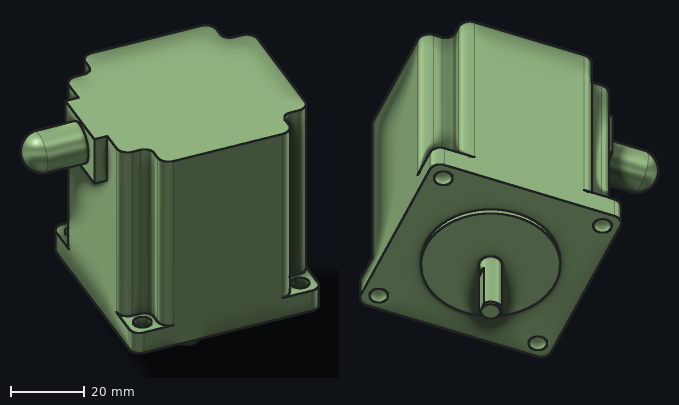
import cadquery as cq

side = 56.4
body_top = 61.7
flange_thickness = 6.8
flange_corner_radius = 3.05
hole_spacing = 47.1
hole_diameter = 5.1
notch_size = 8.6
notch_outer_radius = 3.4
notch_inner_radius = 2.7

pilot_diameter = 38.2
pilot_height = 1.65
shaft_diameter = 6.3
shaft_length = 18.9
shaft_chamfer = 0.5
flat_depth = 0.5
flat_start = 4.1

outlet_width = 20.0
outlet_height = 14.8
outlet_depth = 3.9
plug_diameter = 12.0
plug_straight_length = 12.2
plug_dome_height = 4.9


def make_flange():
    """Square plate with rounded corners and four mounting holes."""
    return (
        cq.Workplane("XY")
        .rect(side, side)
        .extrude(flange_thickness)
        .edges("|Z")
        .fillet(flange_corner_radius)
        .faces(">Z")
        .workplane()
        .rect(hole_spacing, hole_spacing, forConstruction=True)
        .vertices()
        .hole(hole_diameter)
    )


def make_body():
    """Square column whose corners are notched to clear the screws."""
    shoulder_width = side - 2 * notch_size
    height = body_top - flange_thickness
    base = cq.Workplane("XY").workplane(offset=flange_thickness)
    cross = base.rect(side, shoulder_width).extrude(height)
    cross = cross.union(base.rect(shoulder_width, side).extrude(height))

    selection_margin = 0.8
    inner_reach = shoulder_width / 2 + selection_margin
    inner_corners = cq.selectors.BoxSelector(
        (-inner_reach, -inner_reach, 0), (inner_reach, inner_reach, body_top)
    )
    cross = cross.edges("|Z").edges(inner_corners).fillet(notch_inner_radius)
    for face in (">X", "<X", ">Y", "<Y"):
        cross = cross.faces(face).edges("|Z").fillet(notch_outer_radius)
    return cross


def make_shaft():
    """Pilot disc with a chamfered shaft that has a flat on its +Y side."""
    pilot = cq.Workplane("XY").circle(pilot_diameter / 2).extrude(-pilot_height)
    shaft = (
        cq.Workplane("XY")
        .workplane(offset=-pilot_height)
        .circle(shaft_diameter / 2)
        .extrude(-shaft_length)
        .faces("<Z")
        .chamfer(shaft_chamfer)
    )
    flat = (
        cq.Workplane("XY")
        .workplane(offset=-pilot_height - flat_start)
        .center(0, shaft_diameter / 2)
        .rect(shaft_diameter, 2 * flat_depth)
        .extrude(flat_start - shaft_length)
    )
    return pilot.union(shaft.cut(flat))


def make_outlet():
    """Rectangular block level with the body top, carrying a domed plug."""
    block_face = -side / 2 - outlet_depth
    center_z = body_top - outlet_height / 2
    block = cq.Workplane("XY").box(
        outlet_width, outlet_depth, outlet_height, centered=(True, False, True)
    )
    block = block.translate((0, block_face, center_z))

    radius = plug_diameter / 2
    dome_start = -plug_straight_length
    tip = dome_start - plug_dome_height
    dome_radius = (radius**2 + plug_dome_height**2) / (2 * plug_dome_height)
    dome_center = tip + dome_radius
    arc_x = radius / 2
    arc_y = dome_center - (dome_radius**2 - arc_x**2) ** 0.5
    plug = (
        cq.Workplane("XY")
        .lineTo(radius, 0)
        .lineTo(radius, dome_start)
        .threePointArc((arc_x, arc_y), (0, tip))
        .close()
        .revolve(360, (0, 0, 0), (0, 1, 0))
        .translate((0, block_face, center_z))
    )
    return block.union(plug)


result = make_flange().union(make_body()).union(make_shaft()).union(make_outlet())